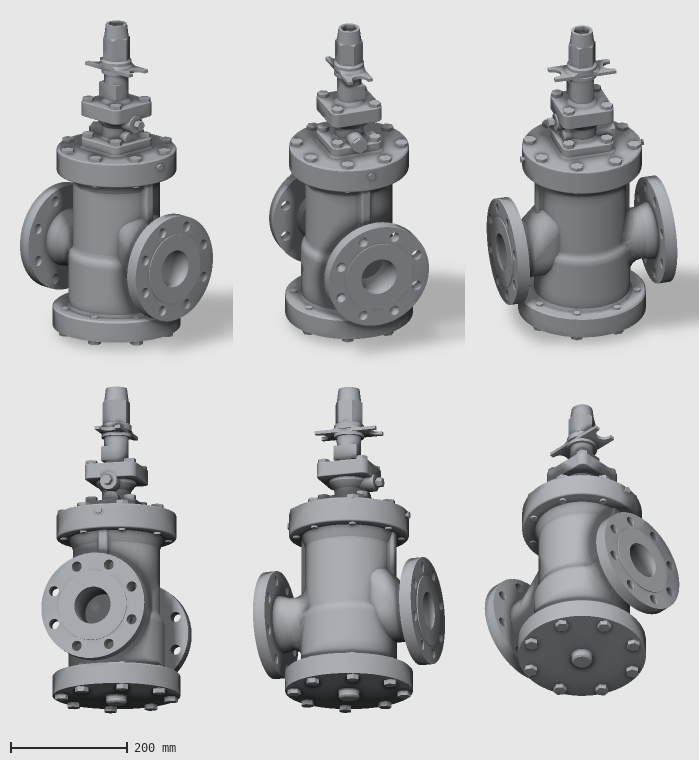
import cadquery as cq
import math

overall_height = 554.0

cover_low_z = 14.0
lower_flange_top = 51.0
lower_flange_radius = 220.0 / 2
lower_body_radius = 82.5
upper_body_radius = 75.0
shoulder_low_z = 136.5
shoulder_mid_z = 149.5
shoulder_high_z = 159.5
flare_low_z = 270.0
flare_radius = 81.0
flare_top = 287.0
upper_flange_low = 289.0
upper_flange_top = 332.0
upper_flange_radius = 103.0
flange_edge = 3.0
body_foot = 4.5

pipe_z = 144.5
flange_face_x = 290.0 / 2
raised_face_height = 1.5
pipe_flange_thickness = 21.0
pipe_flange_radius = 92.5
raised_face_radius = 61.0
bore_diameter = 65.0
bore_depth = 66.5
pipe_hole_diameter = 18.0
pipe_hole_circle = 75.5
pipe_radius = 50.0
inlet_neck_radius = 45.0
inlet_neck_drop = 1.0
neck_x = 102.0
neck_blend = 22.0
hood_tip_x = 101.0
hood_peak_x = 73.5
hood_peak_z = 223.0
hood_end_x = 33.0
hood_start_rise = 0.5

rib_reach = 84.0
rib_width = 17.0
rib_edge = 4.5
rib_foot = 4.0
rib_foot_x = 73.0

hex_diameter = 22.5
small_hex_diameter = 21.0
head_height = 6.0
base_head_height = 8.5
neck_head_height = 8.0
stud_diameter = 12.0
stud_height = 3.5
bolt_count = 8
upper_bolt_circle = 90.5
lower_bolt_circle = 95.0

plate_half = 46.0
plate_corner = 12.0
plate_edge = 1.5
plate_bolt_offset = 34.5
pad_half = 49.5
pad_height = 5.0
lower_plate_top = 350.0
upper_plate_low = 389.5
upper_plate_top = 415.5
neck_radius = 25.0
cone_radius = 34.5
cone_top_z = 384.5
cone_low_z = 372.5
neck_foot = 4.0

left_port_diameter = 27.5
right_port_diameter = 30.0
port_reach = 49.0
left_port_z = 353.5
right_port_z = 383.0
left_plug_diameter = 27.0
left_plug_length = 7.0
right_plug_diameter = 17.0
right_plug_reach = 61.5
washer_diameter = 10.0
stub_reach = 36.5

stem_radius = 21.0
wrench_block_low = 424.5
wrench_block_top = 450.0
collar_radius = 26.0
collar_groove_radius = 22.0
handle_low = 473.0
handle_top = 478.5
lower_collar_low = 467.5
upper_collar_top = 488.5
nut_low = 491.5
nut_top = 531.5
nut_chamfer = 3.0
cap_top_radius = 18.5
socket_diameter = 30.0
socket_depth = 11.0

handle_half_length = 55.0
handle_half_width = 22.5
prong_width = 9.0
notch_x = 38.0
handle_hub_radius = 31.0
handle_hub_top = 483.5

screw_z = 319.0
screw_head_diameter = 12.0
screw_neck_diameter = 6.5
screw_reach = 110.0
screw_head_length = 3.0


def disc(radius, low_z, top_z):
    return cq.Workplane("XY").workplane(offset=low_z).circle(radius).extrude(top_z - low_z)


def x_cylinder(diameter, start_x, end_x, z):
    plane = cq.Workplane("YZ", origin=(start_x, 0, z))
    return plane.circle(diameter / 2).extrude(end_x - start_x)


def x_hexagon(diameter, start_x, end_x, z, turn=0):
    plane = cq.Workplane("YZ", origin=(start_x, 0, z)).transformed(rotate=(0, 0, turn))
    return plane.polygon(6, diameter).extrude(end_x - start_x)


def bolt_ring(circle_radius, low_z, height, diameter, hexagonal):
    half_pitch = 180 / bolt_count
    ring = cq.Workplane("XY").workplane(offset=low_z)
    ring = ring.polarArray(circle_radius, half_pitch, 360, bolt_count)
    ring = ring.polygon(6, diameter) if hexagonal else ring.circle(diameter / 2)
    return ring.extrude(height)


def square_plate(half, low_z, top_z, corner):
    plate = cq.Workplane("XY").workplane(offset=low_z).rect(2 * half, 2 * half)
    return plate.extrude(top_z - low_z).edges("|Z").fillet(corner)


def plate_bolts(low_z, height):
    pitch = 2 * plate_bolt_offset
    heads = cq.Workplane("XY").workplane(offset=low_z).rarray(pitch, pitch, 2, 2)
    return heads.polygon(6, small_hex_diameter).extrude(height)


def make_body():
    shoulder_mid_radius = lower_body_radius - (lower_body_radius - upper_body_radius) * (
        shoulder_mid_z - shoulder_low_z
    ) / (shoulder_high_z - shoulder_low_z)
    profile = (
        cq.Workplane("XZ")
        .moveTo(0, cover_low_z)
        .lineTo(lower_body_radius, cover_low_z)
        .lineTo(lower_body_radius, shoulder_low_z)
        .tangentArcPoint((shoulder_mid_radius, shoulder_mid_z), relative=False)
        .tangentArcPoint((upper_body_radius, shoulder_high_z), relative=False)
        .lineTo(upper_body_radius, flare_low_z)
        .lineTo(flare_radius, flare_top)
        .lineTo(flare_radius, upper_flange_top)
        .lineTo(0, upper_flange_top)
        .close()
    )
    return profile.revolve(360, (0, 0, 0), (0, 1, 0))


def make_flanges():
    lower = disc(lower_flange_radius, cover_low_z, lower_flange_top)
    lower = lower.faces(">Z").edges().chamfer(flange_edge)
    foot = disc(lower_body_radius + body_foot, lower_flange_top, lower_flange_top + body_foot)
    foot = foot.faces(">Z").edges().chamfer(body_foot * 0.99)
    upper = disc(upper_flange_radius, upper_flange_low, upper_flange_top)
    upper = upper.edges().fillet(flange_edge)
    return lower.union(foot).union(upper)


def make_flange_bolts():
    cover_heads = bolt_ring(upper_bolt_circle, upper_flange_top, head_height, hex_diameter, True)
    cover_studs = bolt_ring(
        upper_bolt_circle, upper_flange_low - stud_height, stud_height, stud_diameter, False
    )
    base_heads = bolt_ring(
        lower_bolt_circle, cover_low_z - base_head_height, base_head_height, hex_diameter, True
    )
    base_studs = bolt_ring(lower_bolt_circle, lower_flange_top, stud_height, stud_diameter, False)
    return cover_heads.union(cover_studs).union(base_heads).union(base_studs)


def make_drain_plug():
    profile = (
        cq.Workplane("XZ")
        .moveTo(0, cover_low_z)
        .lineTo(19.5, cover_low_z)
        .lineTo(18.0, 11.5)
        .lineTo(18.0, 8.5)
        .lineTo(17.0, 6.5)
        .lineTo(18.0, 5.0)
        .lineTo(18.0, 3.0)
        .lineTo(15.0, 0)
        .lineTo(0, 0)
        .close()
    )
    return profile.revolve(360, (0, 0, 0), (0, 1, 0))


def make_pipe_flange(side):
    raised_x = side * (flange_face_x - raised_face_height)
    back_x = side * (flange_face_x - raised_face_height - pipe_flange_thickness)
    flange = x_cylinder(2 * pipe_flange_radius, back_x, raised_x, pipe_z)
    face = x_cylinder(2 * raised_face_radius, raised_x, side * flange_face_x, pipe_z)
    holes = (
        cq.Workplane("YZ", origin=(back_x, 0, pipe_z))
        .polarArray(pipe_hole_circle, 180 / bolt_count, 360, bolt_count)
        .circle(pipe_hole_diameter / 2)
        .extrude(raised_x - back_x)
    )
    return flange.union(face).cut(holes)


def make_inlet_neck():
    back_x = flange_face_x - raised_face_height - pipe_flange_thickness
    taper = (
        cq.Workplane("YZ", origin=(-back_x, 0, pipe_z))
        .circle(pipe_radius)
        .workplane(offset=back_x - neck_x)
        .center(0, -inlet_neck_drop)
        .circle(inlet_neck_radius)
        .loft(combine=True)
    )
    throat = (
        cq.Workplane("YZ", origin=(-neck_x, 0, pipe_z - inlet_neck_drop))
        .circle(inlet_neck_radius)
        .extrude(neck_x)
    )
    return taper, throat


def outlet_section(x, rise):
    plane = cq.Plane(origin=(x, 0, pipe_z), xDir=(0, 1, 0), normal=(1, 0, 0))
    section = (
        cq.Workplane(plane)
        .moveTo(pipe_radius, 0)
        .lineTo(pipe_radius, rise)
        .threePointArc((0, rise + pipe_radius), (-pipe_radius, rise))
        .lineTo(-pipe_radius, 0)
        .threePointArc((0, -pipe_radius), (pipe_radius, 0))
        .close()
    )
    return section.wires().val()


def make_outlet_neck():
    back_x = flange_face_x - raised_face_height - pipe_flange_thickness
    pipe = x_cylinder(2 * pipe_radius, hood_tip_x, back_x, pipe_z)
    slope = (hood_peak_z - pipe_z - pipe_radius) / (hood_tip_x - hood_peak_x)
    lift = slope * (hood_tip_x - hood_end_x)
    sections = [outlet_section(hood_tip_x, hood_start_rise), outlet_section(hood_end_x, lift)]
    hood = cq.Workplane(cq.Solid.makeLoft(sections, True))
    return pipe.union(hood)


def make_rib(side):
    half = rib_width / 2
    feet = [
        (0, half + rib_foot),
        (rib_foot_x, half + rib_foot),
        (rib_foot_x + rib_foot, half),
        (rib_foot_x + rib_foot, -half),
        (rib_foot_x, -half - rib_foot),
        (0, -half - rib_foot),
    ]
    base = cq.Workplane("XY", origin=(0, 0, pipe_z)).polyline([(side * x, y) for x, y in feet]).close()
    bar = cq.Workplane("XY", origin=(side * rib_reach / 2, 0, pipe_z)).rect(rib_reach, rib_width)
    height = upper_flange_low - pipe_z
    return base.extrude(height).union(bar.extrude(height).edges("|Z").fillet(rib_edge))


def make_pilot_body():
    pad = cq.Workplane("XY").workplane(offset=upper_flange_top).rect(2 * pad_half, 2 * pad_half)
    pad = pad.extrude(pad_height).edges("|Z").fillet(plate_corner + pad_half - plate_half)
    pad = pad.faces(">Z").edges().chamfer(pad_height * 0.95)
    lower = square_plate(plate_half, upper_flange_top, lower_plate_top, plate_corner)
    lower = lower.faces(">Z").edges().fillet(plate_edge)
    upper = square_plate(plate_half, upper_plate_low, upper_plate_top, plate_corner)
    upper = upper.faces("<Z or >Z").edges().fillet(plate_edge)
    neck = (
        cq.Workplane("XZ")
        .moveTo(0, lower_plate_top)
        .lineTo(neck_radius + neck_foot, lower_plate_top)
        .lineTo(neck_radius, lower_plate_top + neck_foot)
        .lineTo(neck_radius, cone_low_z)
        .lineTo(cone_radius, cone_top_z)
        .lineTo(cone_radius, upper_plate_low)
        .lineTo(0, upper_plate_low)
        .close()
        .revolve(360, (0, 0, 0), (0, 1, 0))
    )
    body = pad.union(lower).union(upper).union(neck)
    body = body.union(plate_bolts(lower_plate_top, neck_head_height))
    return body.union(plate_bolts(upper_plate_top, head_height))


def make_ports():
    left = x_cylinder(left_port_diameter, -port_reach, stub_reach, left_port_z)
    left_end = -port_reach - left_plug_length
    left_plug = x_hexagon(left_plug_diameter, left_end, -port_reach, left_port_z, 90)
    right = x_cylinder(right_port_diameter, 0, port_reach, right_port_z)
    shoulder_x = port_reach + 3.0
    right_neck = x_cylinder(washer_diameter, port_reach, shoulder_x, right_port_z)
    right_plug = x_hexagon(right_plug_diameter, shoulder_x, right_plug_reach, right_port_z)
    return left.union(left_plug).union(right).union(right_neck).union(right_plug)


def make_stem():
    profile = (
        cq.Workplane("XZ")
        .moveTo(0, upper_plate_top)
        .lineTo(stem_radius + 6.0, upper_plate_top)
        .lineTo(stem_radius, upper_plate_top + 6.0)
        .lineTo(stem_radius, lower_collar_low)
        .lineTo(collar_radius, lower_collar_low)
        .lineTo(collar_radius, handle_low)
        .lineTo(collar_groove_radius, handle_low)
        .lineTo(collar_groove_radius, handle_top)
        .lineTo(collar_radius, handle_top)
        .lineTo(collar_radius, upper_collar_top)
        .lineTo(stem_radius + 1.5, nut_low)
        .lineTo(stem_radius, nut_low)
        .lineTo(stem_radius, nut_top)
        .lineTo(cap_top_radius, overall_height)
        .lineTo(0, overall_height)
        .close()
    )
    stem = profile.revolve(360, (0, 0, 0), (0, 1, 0))
    nut = cq.Workplane("XY").workplane(offset=nut_low)
    nut_corner_radius = stem_radius / math.cos(math.pi / 6)
    nut = nut.polygon(6, 2 * nut_corner_radius).extrude(nut_top - nut_low)
    nut_round = disc(nut_corner_radius, nut_low, nut_top).faces(">Z").edges().chamfer(nut_chamfer)
    nut = nut.intersect(nut_round)
    block = cq.Workplane("XY").workplane(offset=wrench_block_low)
    block = block.center(0, -stem_radius / 2).rect(2 * stem_radius, stem_radius)
    block = block.extrude(wrench_block_top - wrench_block_low)
    socket = cq.Workplane("XY").workplane(offset=overall_height - socket_depth)
    socket = socket.polygon(6, socket_diameter).extrude(socket_depth)
    return stem.union(nut).union(block).cut(socket)


def make_handle():
    prong_inner = handle_half_width - prong_width
    plate = (
        cq.Workplane("XY")
        .workplane(offset=handle_low)
        .moveTo(-handle_half_length, -handle_half_width)
        .lineTo(handle_half_length, -handle_half_width)
        .lineTo(handle_half_length, -prong_inner)
        .threePointArc((notch_x, 0), (handle_half_length, prong_inner))
        .lineTo(handle_half_length, handle_half_width)
        .lineTo(-handle_half_length, handle_half_width)
        .lineTo(-handle_half_length, prong_inner)
        .threePointArc((-notch_x, 0), (-handle_half_length, -prong_inner))
        .close()
        .extrude(handle_top - handle_low)
    )
    hub = disc(handle_hub_radius, handle_low, handle_hub_top)
    hub = hub.faces(">Z").edges().chamfer(handle_hub_top - handle_top)
    trim = cq.Workplane("XY", origin=(0, 0, handle_low))
    trim = trim.box(2 * handle_half_length, 2 * handle_half_width, 2 * (handle_hub_top - handle_low))
    return plate.union(hub.intersect(trim))


def make_side_screws():
    head_start = screw_reach - screw_head_length
    necks = x_cylinder(screw_neck_diameter, -screw_reach, screw_reach, screw_z)
    for side in (-1, 1):
        head = x_hexagon(screw_head_diameter, side * head_start, side * screw_reach, screw_z, 90)
        necks = necks.union(head)
    return necks


taper, throat = make_inlet_neck()
valve = make_body().union(throat)
junction = cq.selectors.BoxSelector((-80.5, -55.5, pipe_z - 55.5), (-33, 55.5, pipe_z + 55.5))
valve = valve.edges(junction).fillet(neck_blend)
valve = valve.union(taper).union(make_outlet_neck())
for side in (-1, 1):
    valve = valve.union(make_rib(side)).union(make_pipe_flange(side))
    bore_end = side * (flange_face_x - bore_depth)
    valve = valve.cut(x_cylinder(bore_diameter, bore_end, side * flange_face_x, pipe_z))
for section in (
    make_flanges(),
    make_flange_bolts(),
    make_drain_plug(),
    make_side_screws(),
    make_pilot_body(),
    make_ports(),
    make_stem(),
    make_handle(),
):
    valve = valve.union(section)

result = valve